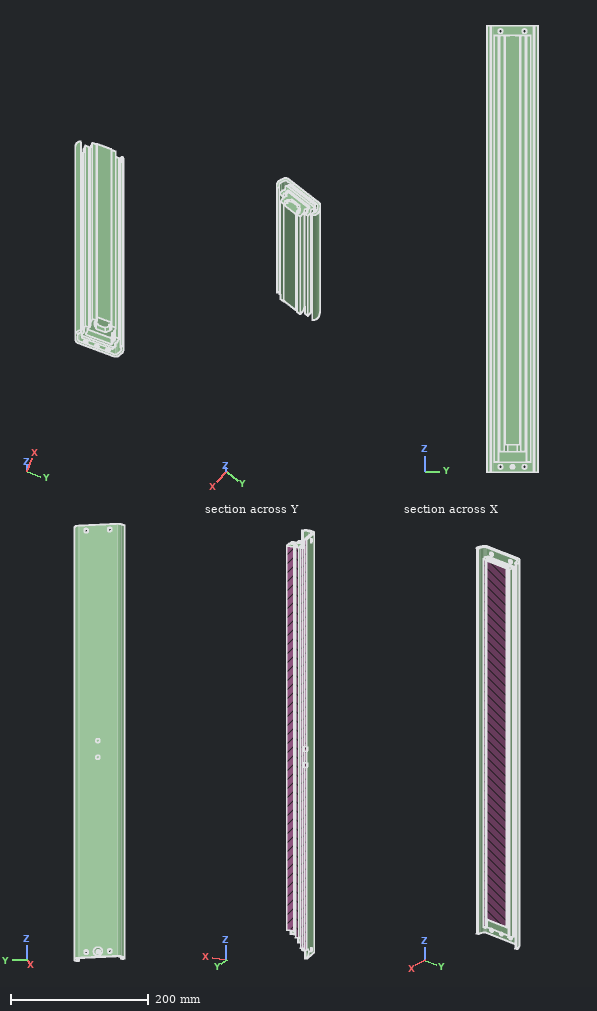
import cadquery as cq
import math

outer_length = 650.0
inner_top = 636.0
middle_bottom = 15.0
inner_bottom = 30.0
bar_bottom = 40.0

outer_half_width = 74.93 / 2
outer_wall = 3.7
base_half_width = 28.4
lip_radius = 9.0
lip_center_x = 13.0
lip_tip_x = 21.0
bend_radius = 6.2
lip_center_y = outer_half_width - lip_radius

mount_hole_diameter = 6.0
mount_hole_y = 17.5
mount_hole_end_distance = 8.0
rivet_diameter = 6.0
rivet_heights = (300.0, 325.0)
stop_hole_diameter = 3.0
countersink_floor_diameter = 6.0
countersink_depth = 3.0
countersink_diameter = 13.0
stop_hole_height = 8.0

plate_thickness = 3.3
plate_half_width = 24.4

slide_gap = 2.3
middle_wall = 3.5
middle_back_x = outer_wall + plate_thickness
middle_tip_x = 23.0
middle_half_width = 26.5
middle_leg = 5.8
middle_corner = 1.0
middle_groove_depth = 2.0
middle_groove_x = 13.0
middle_race_x = 19.0
inner_back_x = middle_back_x + middle_wall + slide_gap
inner_tip_x = 31.0
inner_half_width = 18.5
inner_wall = 5.5
inner_leg = 6.3
inner_corner = 5.0
inner_groove_depth = 1.6
inner_race_x = 26.5
outer_groove_radius = 3.5
race_radius = 2.3
race_depth = 1.2

bar_front_x = 32.0
bar_back_x = inner_back_x + inner_wall + slide_gap
bar_half_width = 11.0
bar_nose_half_width = 5.0
bar_shoulder_x = 25.0
bar_race_depth = 1.6


def outer_section():
    """Closed outline of the outer channel, walked along its outside and back along its inside."""
    tip_angle = math.acos((lip_tip_x - lip_center_x) / lip_radius)
    bend_x, bend_y = bend_radius, base_half_width
    run = lip_center_x - bend_x
    rise = lip_center_y - bend_y
    slant = math.atan2(rise, run) + math.asin((lip_radius - bend_radius) / math.hypot(run, rise))
    slant_normal = math.pi / 2 + slant

    def bend(radius, angle, side):
        return (bend_x + radius * math.cos(angle), side * (bend_y + radius * math.sin(angle)))

    def lip(radius, angle, side):
        return (lip_center_x + radius * math.cos(angle), side * (lip_center_y + radius * math.sin(angle)))

    bend_middle = (math.pi + slant_normal) / 2
    lip_middle = (slant_normal + tip_angle) / 2
    bend_inside = bend_radius - outer_wall
    lip_inside = lip_radius - outer_wall
    return (
        cq.Workplane("XY")
        .moveTo(*lip(lip_radius, tip_angle, 1))
        .threePointArc(lip(lip_radius, lip_middle, 1), lip(lip_radius, slant_normal, 1))
        .lineTo(*bend(bend_radius, slant_normal, 1))
        .threePointArc(bend(bend_radius, bend_middle, 1), bend(bend_radius, math.pi, 1))
        .lineTo(*bend(bend_radius, math.pi, -1))
        .threePointArc(bend(bend_radius, bend_middle, -1), bend(bend_radius, slant_normal, -1))
        .lineTo(*lip(lip_radius, slant_normal, -1))
        .threePointArc(lip(lip_radius, lip_middle, -1), lip(lip_radius, tip_angle, -1))
        .lineTo(*lip(lip_inside, tip_angle, -1))
        .threePointArc(lip(lip_inside, lip_middle, -1), lip(lip_inside, slant_normal, -1))
        .lineTo(*bend(bend_inside, slant_normal, -1))
        .threePointArc(bend(bend_inside, bend_middle, -1), bend(bend_inside, math.pi, -1))
        .lineTo(*bend(bend_inside, math.pi, 1))
        .threePointArc(bend(bend_inside, bend_middle, 1), bend(bend_inside, slant_normal, 1))
        .lineTo(*lip(lip_inside, slant_normal, 1))
        .threePointArc(lip(lip_inside, lip_middle, 1), lip(lip_inside, tip_angle, 1))
        .close()
    )


def base_holes(points, diameter):
    """Round cutters through the base of the outer channel at the given (Y, Z) points."""
    return cq.Workplane("YZ").pushPoints(points).circle(diameter / 2).extrude(outer_wall)


def make_outer_channel():
    """Outer channel with corner mounting holes, rivet holes and one stepped countersunk stop hole."""
    channel = outer_section().extrude(outer_length)
    mount_points = [
        (y, z)
        for y in (-mount_hole_y, mount_hole_y)
        for z in (mount_hole_end_distance, outer_length - mount_hole_end_distance)
    ]
    rivet_points = [(0, z) for z in rivet_heights]
    channel = channel.cut(base_holes(mount_points, mount_hole_diameter))
    channel = channel.cut(base_holes(rivet_points, rivet_diameter))
    countersink = (
        cq.Workplane("YZ")
        .center(0, stop_hole_height)
        .circle(countersink_diameter / 2)
        .workplane(offset=countersink_depth)
        .circle(countersink_floor_diameter / 2)
        .loft(ruled=True)
    )
    channel = channel.cut(base_holes([(0, stop_hole_height)], stop_hole_diameter))
    return channel.cut(countersink)


def race(x, y, radius, bottom, length):
    """Round ball track cutter along Z."""
    return cq.Workplane("XY").workplane(offset=bottom).center(x, y).circle(radius).extrude(length)


def make_channel(
    back_x, tip_x, half_width, wall, leg, corner, groove_x, groove_depth, race_x, bottom
):
    """U-shaped channel with sloped inside corners and a ball track outside and inside each leg."""
    length = inner_top - bottom
    floor_x = back_x + wall
    inside_half_width = half_width - leg
    channel = (
        cq.Workplane("XY")
        .workplane(offset=bottom)
        .moveTo(back_x, -half_width)
        .lineTo(tip_x, -half_width)
        .lineTo(tip_x, -inside_half_width)
        .lineTo(floor_x + corner, -inside_half_width)
        .lineTo(floor_x, corner - inside_half_width)
        .lineTo(floor_x, inside_half_width - corner)
        .lineTo(floor_x + corner, inside_half_width)
        .lineTo(tip_x, inside_half_width)
        .lineTo(tip_x, half_width)
        .lineTo(back_x, half_width)
        .close()
        .extrude(length)
    )
    for side in (-1, 1):
        groove_y = side * (half_width + outer_groove_radius - groove_depth)
        channel = channel.cut(race(groove_x, groove_y, outer_groove_radius, bottom, length))
        race_y = side * (inside_half_width + race_depth - race_radius)
        channel = channel.cut(race(race_x, race_y, race_radius, bottom, length))
    return channel


def make_bar():
    """Solid bar, tapered toward the back, with a ball track along each side."""
    length = inner_top - bar_bottom
    solid = (
        cq.Workplane("XY")
        .workplane(offset=bar_bottom)
        .moveTo(bar_back_x, -bar_nose_half_width)
        .lineTo(bar_shoulder_x, -bar_half_width)
        .lineTo(bar_front_x, -bar_half_width)
        .lineTo(bar_front_x, bar_half_width)
        .lineTo(bar_shoulder_x, bar_half_width)
        .lineTo(bar_back_x, bar_nose_half_width)
        .close()
        .extrude(length)
    )
    for side in (-1, 1):
        race_y = side * (bar_half_width + race_radius - bar_race_depth)
        solid = solid.cut(race(inner_race_x, race_y, race_radius, bar_bottom, length))
    return solid


outer_channel = make_outer_channel()
slide_plate = (
    cq.Workplane("XY", origin=(outer_wall + plate_thickness / 2, 0, middle_bottom))
    .rect(plate_thickness, 2 * plate_half_width)
    .extrude(inner_top - middle_bottom)
)
rivets = base_holes([(0, z) for z in rivet_heights], rivet_diameter)
middle_channel = make_channel(
    back_x=middle_back_x,
    tip_x=middle_tip_x,
    half_width=middle_half_width,
    wall=middle_wall,
    leg=middle_leg,
    corner=middle_corner,
    groove_x=middle_groove_x,
    groove_depth=middle_groove_depth,
    race_x=middle_race_x,
    bottom=middle_bottom,
)
inner_channel = make_channel(
    back_x=inner_back_x,
    tip_x=inner_tip_x,
    half_width=inner_half_width,
    wall=inner_wall,
    leg=inner_leg,
    corner=inner_corner,
    groove_x=middle_race_x,
    groove_depth=inner_groove_depth,
    race_x=inner_race_x,
    bottom=inner_bottom,
)
bar = make_bar()

result = cq.Compound.makeCompound([
    outer_channel.val(),
    slide_plate.val(),
    *rivets.vals(),
    middle_channel.val(),
    inner_channel.val(),
    bar.val(),
])